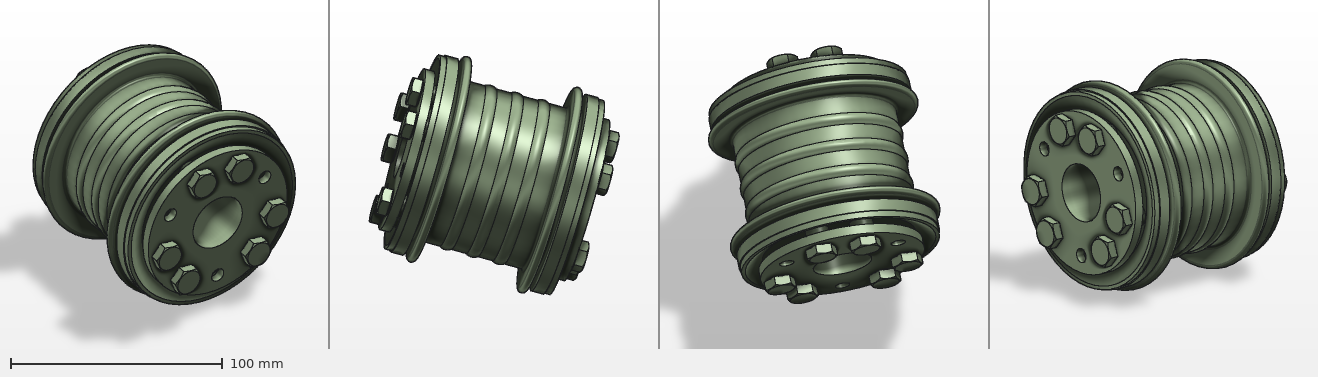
import cadquery as cq
import math

LENGTH = 101.6

HEAD_ACROSS_FLATS = 13.0
HEAD_THICKNESS = 4.8
HEAD_FACE_DIA = 12.6
HEAD_CHAMFER_ANGLE = 30.0
HEAD_TURN = -10.0
WASHER_FACE_DIA = 11.4
WASHER_FACE_THICKNESS = 0.6
BOLT_CIRCLE_RADIUS = 31.0
BOLT_HALF_SPREAD = 20.0
BOLT_PAIR_ANGLES = (90.0, 210.0, 330.0)

PLATE_DIA = 79.0
PLATE_THICKNESS = 4.6
PLATE_PROTRUSION = 5.0
PIN_HOLE_DIA = 6.8
PIN_HOLE_ANGLES = (30.0, 150.0, 270.0)

FLANGE_OUTER_DIA = 95.4
FLANGE_INNER_DIA = 96.6
FLANGE_STEP = 2.9
FLANGE_THICKNESS = 8.7
RECESS_MOUTH_DIA = 91.8
RECESS_FLOOR_DIA = 74.0
RECESS_DEPTH = 4.1
NECK_DIA = 48.1
BORE_DIA = 28.0

DRUM_DIA = 78.9
RIB_DIA = 101.0
RIB_WIDTH = 3.8
RIB_GAP = 2.5
RIB_FILLET = 1.4
BEAD_PITCH = 13.0
BEAD_WIDTH = 5.7
BEAD_HEIGHT = 0.9

head_seat_x = LENGTH / 2 - HEAD_THICKNESS
plate_face_x = head_seat_x - WASHER_FACE_THICKNESS
plate_back_x = plate_face_x - PLATE_THICKNESS
flange_face_x = plate_face_x - PLATE_PROTRUSION
recess_floor_x = flange_face_x - RECESS_DEPTH
flange_step_x = flange_face_x - FLANGE_STEP
flange_back_x = flange_face_x - FLANGE_THICKNESS
rib_outer_x = flange_back_x - RIB_GAP
rib_inner_x = rib_outer_x - RIB_WIDTH


def half_body():
    """Drum half with rib, flange, recess and end plate on the +X side."""
    drum_r = DRUM_DIA / 2
    rib_round = RIB_WIDTH / 2
    gap_round = RIB_GAP / 2
    rib_tip_r = RIB_DIA / 2
    fillet_mid = RIB_FILLET * (1 - math.sqrt(0.5))
    profile = (
        cq.Workplane("XY")
        .moveTo(0, BORE_DIA / 2)
        .lineTo(0, drum_r)
        .lineTo(rib_inner_x - RIB_FILLET, drum_r)
        .threePointArc(
            (rib_inner_x - fillet_mid, drum_r + fillet_mid),
            (rib_inner_x, drum_r + RIB_FILLET),
        )
        .lineTo(rib_inner_x, rib_tip_r - rib_round)
        .threePointArc(
            (rib_inner_x + rib_round, rib_tip_r),
            (rib_outer_x, rib_tip_r - rib_round),
        )
        .lineTo(rib_outer_x, drum_r + gap_round)
        .threePointArc(
            (rib_outer_x + gap_round, drum_r),
            (flange_back_x, drum_r + gap_round),
        )
        .lineTo(flange_back_x, FLANGE_INNER_DIA / 2)
        .lineTo(flange_step_x, FLANGE_INNER_DIA / 2)
        .lineTo(flange_step_x, FLANGE_OUTER_DIA / 2)
        .lineTo(flange_face_x, FLANGE_OUTER_DIA / 2)
        .lineTo(flange_face_x, RECESS_MOUTH_DIA / 2)
        .lineTo(recess_floor_x, RECESS_FLOOR_DIA / 2)
        .lineTo(recess_floor_x, NECK_DIA / 2)
        .lineTo(plate_back_x, NECK_DIA / 2)
        .lineTo(plate_back_x, PLATE_DIA / 2)
        .lineTo(plate_face_x, PLATE_DIA / 2)
        .lineTo(plate_face_x, BORE_DIA / 2)
        .close()
    )
    return profile.revolve(360, (0, 0, 0), (1, 0, 0))


def bead(centre_x):
    """Shallow round-topped band around the drum."""
    drum_r = DRUM_DIA / 2
    core_r = drum_r - BEAD_HEIGHT
    left = centre_x - BEAD_WIDTH / 2
    right = centre_x + BEAD_WIDTH / 2
    profile = (
        cq.Workplane("XY")
        .moveTo(left, core_r)
        .lineTo(left, drum_r)
        .threePointArc((centre_x, drum_r + BEAD_HEIGHT), (right, drum_r))
        .lineTo(right, core_r)
        .close()
    )
    return profile.revolve(360, (0, 0, 0), (1, 0, 0))


def cylinder(start_x, end_x, diameter):
    """Round bar on the X axis between two positions."""
    base = cq.Workplane("YZ", origin=(start_x, 0, 0))
    return base.circle(diameter / 2).extrude(end_x - start_x)


def bolt_head():
    """Hexagon head with chamfered corners on its round washer face."""
    corner_dia = HEAD_ACROSS_FLATS / math.cos(math.pi / 6)
    hexagon = (
        cq.Workplane("YZ")
        .polygon(6, corner_dia)
        .extrude(HEAD_THICKNESS)
        .rotate((0, 0, 0), (1, 0, 0), HEAD_TURN)
        .translate((head_seat_x, 0, 0))
    )
    chamfer_slope = math.tan(math.radians(HEAD_CHAMFER_ANGLE))
    apex_x = LENGTH / 2 + HEAD_FACE_DIA / 2 * chamfer_slope
    chamfer_cone = (
        cq.Workplane("XY")
        .moveTo(apex_x, 0)
        .lineTo(head_seat_x, 0)
        .lineTo(head_seat_x, (apex_x - head_seat_x) / chamfer_slope)
        .close()
        .revolve(360, (0, 0, 0), (1, 0, 0))
    )
    washer_face = cylinder(plate_face_x, head_seat_x, WASHER_FACE_DIA)
    return washer_face.union(hexagon.intersect(chamfer_cone))


def on_bolt_circle(solid, angle):
    """Move a solid from the X axis to its place on the bolt circle, without turning it."""
    y = BOLT_CIRCLE_RADIUS * math.cos(math.radians(angle))
    z = BOLT_CIRCLE_RADIUS * math.sin(math.radians(angle))
    return solid.translate((0, y, z))


def half_part():
    """The complete +X half: body, bead, bolt heads, spacers and pin holes."""
    half = half_body().union(bead(BEAD_PITCH))

    head = bolt_head()
    spacer = cylinder(recess_floor_x, plate_back_x, WASHER_FACE_DIA)
    for pair_angle in BOLT_PAIR_ANGLES:
        for side in (-1, 1):
            angle = pair_angle + side * BOLT_HALF_SPREAD
            half = half.union(on_bolt_circle(spacer, angle))
            half = half.union(on_bolt_circle(head, angle))

    pin_hole = cylinder(plate_back_x, plate_face_x, PIN_HOLE_DIA)
    for angle in PIN_HOLE_ANGLES:
        half = half.cut(on_bolt_circle(pin_hole, angle))
    return half


right_half = half_part()
left_half = right_half.rotate((0, 0, 0), (0, 0, 1), 180)
result = right_half.union(left_half).union(bead(0))